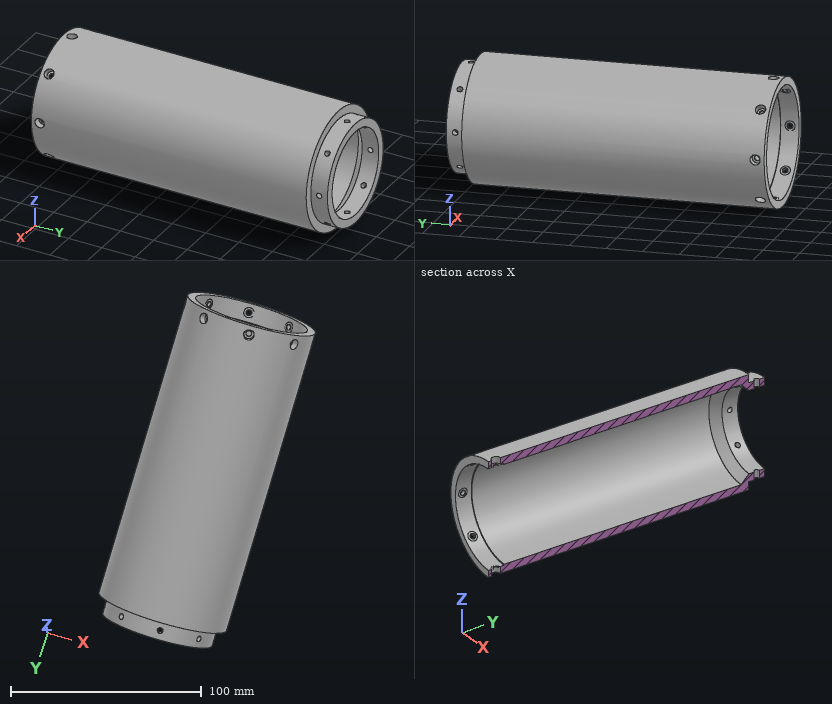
import cadquery as cq

length = 175.0
outer_diameter = 70.0
spigot_diameter = 60.0
spigot_length = 10.0
socket_diameter = 61.0
socket_depth = spigot_length

bore_large_diameter = 60.0
bore_small_diameter = 50.0
cone_length = (bore_large_diameter - bore_small_diameter) / 2

hole_count = 8
hole_diameter = 3.0
counterbore_diameter = 5.5
counterbore_depth = 4.0

front_y = -length / 2
back_y = length / 2
shoulder_y = back_y - spigot_length
socket_floor_y = front_y + socket_depth
socket_hole_y = front_y + socket_depth / 2
cone_start_y = shoulder_y - cone_length
spigot_hole_y = back_y - spigot_length / 2


def make_tube():
    """Revolve the wall section, given as (radius, y), about the Y axis."""
    wall_section = [
        (socket_diameter / 2, front_y),
        (outer_diameter / 2, front_y),
        (outer_diameter / 2, shoulder_y),
        (spigot_diameter / 2, shoulder_y),
        (spigot_diameter / 2, back_y),
        (bore_small_diameter / 2, back_y),
        (bore_small_diameter / 2, shoulder_y),
        (bore_large_diameter / 2, cone_start_y),
        (bore_large_diameter / 2, socket_floor_y),
        (socket_diameter / 2, socket_floor_y),
    ]
    return cq.Workplane("XY").polyline(wall_section).close().revolve(360, (0, 0, 0), (0, 1, 0))


def radial_cutters(y, diameter, inner_radius):
    """Ring of cylinders pointing outward, from inner_radius past the outer surface."""
    cutters = cq.Workplane("XY")
    for i in range(hole_count):
        cutter = (
            cq.Workplane("XY", origin=(0, y, inner_radius))
            .circle(diameter / 2)
            .extrude(outer_diameter - inner_radius)
            .rotate((0, 0, 0), (0, 1, 0), i * 360 / hole_count)
        )
        cutters = cutters.add(cutter)
    return cutters.combine()


hole_start_radius = bore_small_diameter / 4
counterbore_floor_radius = outer_diameter / 2 - counterbore_depth

result = make_tube()
result = result.cut(radial_cutters(spigot_hole_y, hole_diameter, hole_start_radius))
result = result.cut(radial_cutters(socket_hole_y, hole_diameter, hole_start_radius))
result = result.cut(radial_cutters(socket_hole_y, counterbore_diameter, counterbore_floor_radius))